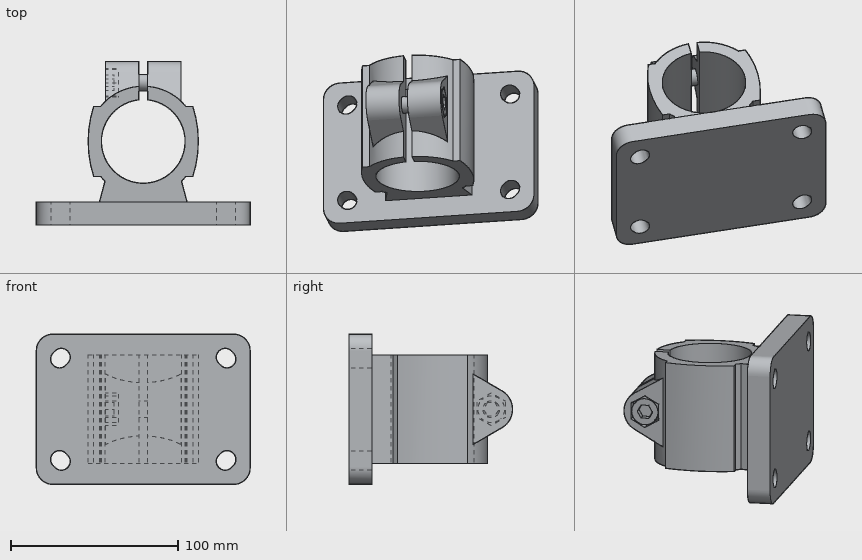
import cadquery as cq
import math

plate_width = 128.0
plate_thickness = 14.0
plate_height = 90.0
plate_corner_radius = 10.0
slot_spacing_x = 99.1
slot_spacing_z = 61.2
slot_width = 10.5
slot_travel = 1.5

clamp_height = 65.0
bore_radius = 25.0
ring_radius = 33.0
ring_center_y = 50.0
split_width = 5.1
pad_half_length = 21.0
pad_end_half_width = 29.7
foot_half_width = 26.2
foot_draft_angle = 15.0

total_depth = 97.9
lug_half_span = 22.7
lug_radius = 12.8
lug_flank_angle = 30.0
screw_diameter = 10.0
head_diameter = 16.0
pocket_corner_diameter = 19.5
pocket_depth = 8.0
socket_corner_diameter = 9.2
socket_depth = 5.1
screw_y = total_depth - lug_radius


def make_plate():
    plate = (
        cq.Workplane("XY")
        .box(plate_width, plate_thickness, plate_height, centered=(True, False, True))
        .edges("|Y")
        .fillet(plate_corner_radius)
    )
    slot_length = slot_width + slot_travel
    for side_x in (-1, 1):
        for side_z in (-1, 1):
            slot = (
                cq.Workplane("XZ")
                .center(side_x * slot_spacing_x / 2, side_z * slot_spacing_z / 2)
                .slot2D(slot_length, slot_width, -side_x * side_z * 45)
                .extrude(-plate_thickness)
            )
            plate = plate.cut(slot)
    return plate


def extrude_clamp_profile(profile):
    return profile.extrude(clamp_height / 2, both=True)


def make_ring():
    return extrude_clamp_profile(cq.Workplane("XY").center(0, ring_center_y).circle(ring_radius))


def make_side_pads():
    low_y = ring_center_y - pad_half_length
    high_y = ring_center_y + pad_half_length
    return extrude_clamp_profile(
        cq.Workplane("XY")
        .moveTo(-pad_end_half_width, low_y)
        .lineTo(pad_end_half_width, low_y)
        .threePointArc((ring_radius, ring_center_y), (pad_end_half_width, high_y))
        .lineTo(-pad_end_half_width, high_y)
        .threePointArc((-ring_radius, ring_center_y), (-pad_end_half_width, low_y))
        .close()
    )


def make_foot():
    foot_height = ring_center_y - plate_thickness
    top_half_width = foot_half_width - foot_height * math.tan(math.radians(foot_draft_angle))
    return extrude_clamp_profile(
        cq.Workplane("XY").polyline([
            (-foot_half_width, plate_thickness),
            (foot_half_width, plate_thickness),
            (top_half_width, ring_center_y),
            (-top_half_width, ring_center_y),
        ])
        .close()
    )


def make_lugs():
    angle = math.radians(lug_flank_angle)
    tangent_y = screw_y + lug_radius * math.sin(angle)
    tangent_z = lug_radius * math.cos(angle)
    base_y = ring_center_y + pad_half_length
    base_z = tangent_z + (tangent_y - base_y) * math.tan(angle)
    return (
        cq.Workplane("YZ")
        .moveTo(base_y, -base_z)
        .lineTo(tangent_y, -tangent_z)
        .threePointArc((total_depth, 0), (tangent_y, tangent_z))
        .lineTo(base_y, base_z)
        .close()
        .extrude(lug_half_span, both=True)
    )


def screw_plane(x):
    return cq.Workplane("YZ", origin=(x, screw_y, 0))


def add_screw(body):
    pocket_floor = -lug_half_span + pocket_depth
    pocket = (
        screw_plane(-lug_half_span)
        .polygon(6, pocket_corner_diameter)
        .extrude(pocket_depth)
        .rotate((0, screw_y, 0), (1, screw_y, 0), 90)
    )
    head = screw_plane(-lug_half_span).circle(head_diameter / 2).extrude(pocket_depth)
    shank = screw_plane(pocket_floor).circle(screw_diameter / 2).extrude(-pocket_floor + split_width)
    socket = screw_plane(-lug_half_span).polygon(6, socket_corner_diameter).extrude(socket_depth)
    return body.cut(pocket).union(head).union(shank).cut(socket)


clamp = make_ring().union(make_side_pads()).union(make_lugs()).union(make_foot())
bore = extrude_clamp_profile(cq.Workplane("XY").center(0, ring_center_y).circle(bore_radius))
split = cq.Workplane("XY").box(split_width, total_depth, clamp_height, centered=(True, False, True))
split = split.translate((0, ring_center_y, 0))
clamp = clamp.cut(bore).cut(split)

result = add_screw(make_plate().union(clamp))